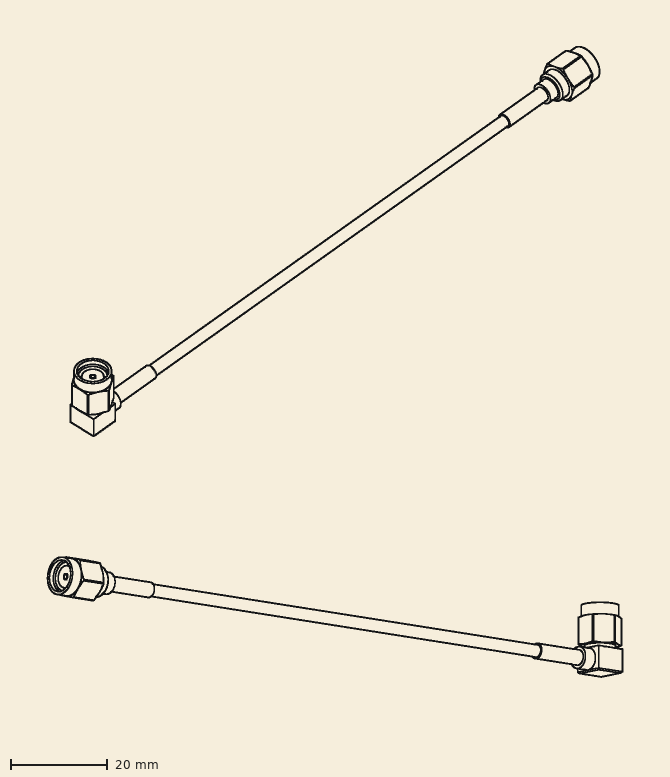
import cadquery as cq
import math

total_length = 153.1
cable_diameter = 2.6

sleeve_diameter = 3.2
sleeve_length = 11.5
collar_diameter = 4.6

nut_across_flats = 8.0
nut_corner_diameter = 9.0
hex_length = 6.0
hex_chamfer_angle = 20.0
rim_diameter = 7.8
rim_length = 2.5
nut_length = hex_length + rim_length

mouth_diameter = 6.6
mouth_depth = 1.0
thread_diameter = 6.0
thread_lead = (mouth_diameter - thread_diameter) / 2
socket_depth = 3.0
shell_diameter = 4.6
shell_recess = 1.5
contact_bore_diameter = 1.27
pin_diameter = 0.9

block_width = 6.6
block_bottom = -2.6
block_top = 2.5
block_chamfer = 0.3
neck_diameter = 6.5
elbow_top = 11.6
elbow_collar_length = 2.8

straight_nut_turn = -15.0
straight_collar_length = 2.3
flange_diameter = 6.5
flange_length = 2.5
flange_chamfer = 0.5

elbow_collar_end = block_width / 2 + elbow_collar_length
elbow_sleeve_end = elbow_collar_end + sleeve_length
straight_face = total_length - nut_across_flats / 2
flange_back = straight_face - nut_length - flange_length
straight_sleeve_end = flange_back - straight_collar_length
straight_sleeve_start = straight_sleeve_end - sleeve_length


def disc(diameter, start, end):
    """A round length along Z."""
    return cq.Workplane("XY", origin=(0, 0, start)).circle(diameter / 2).extrude(end - start)


def rod(diameter, start, end):
    """A round length along Y."""
    return cq.Workplane("XZ", origin=(0, start, 0)).circle(diameter / 2).extrude(start - end)


def hexagon(turn):
    """Hexagon of the nut, with its corners turned down and coned off at both ends."""
    chamfer_width = (nut_corner_diameter - nut_across_flats) / 2
    chamfer_height = chamfer_width * math.tan(math.radians(hex_chamfer_angle))
    turned = (
        disc(nut_corner_diameter, -nut_length, -rim_length)
        .faces("<Z or >Z")
        .chamfer(chamfer_height, chamfer_width)
    )
    prism = (
        cq.Workplane("XY", origin=(0, 0, -nut_length))
        .polygon(6, nut_across_flats / math.cos(math.pi / 6))
        .extrude(hex_length)
        .rotate((0, 0, 0), (0, 0, 1), turn)
    )
    return prism.intersect(turned)


def socket():
    """Space inside the open end of the nut: wide mouth, cone, then thread bore."""
    return (
        cq.Workplane("XZ")
        .polyline(
            [
                (0, 0),
                (mouth_diameter / 2, 0),
                (mouth_diameter / 2, -mouth_depth),
                (thread_diameter / 2, -mouth_depth - thread_lead),
                (thread_diameter / 2, -socket_depth),
                (0, -socket_depth),
            ]
        )
        .close()
        .revolve(360, (0, 0, 0), (0, 1, 0))
    )


def coupling(turn):
    """Nut and contacts about Z, with the open face at z = 0 and the nut below it."""
    shell = disc(shell_diameter, -socket_depth, -shell_recess)
    contact_bore = disc(contact_bore_diameter, -socket_depth, -shell_recess)
    pin = disc(pin_diameter, -socket_depth, -shell_recess)
    nut = hexagon(turn).union(disc(rim_diameter, -nut_length, 0)).cut(socket())
    return nut.union(shell).cut(contact_bore).union(pin)


def right_angle_connector():
    """Block at the origin, nut above it, and the crimp that the cable butts against."""
    block = (
        cq.Workplane("XY", origin=(0, 0, block_bottom))
        .rect(block_width, block_width)
        .extrude(block_top - block_bottom)
        .faces("<Z")
        .edges()
        .chamfer(block_chamfer)
    )
    neck = disc(neck_diameter, block_top, elbow_top - nut_length)
    nut = coupling(0).translate((0, 0, elbow_top))
    collar = rod(collar_diameter, 0, elbow_collar_end)
    sleeve = rod(sleeve_diameter, elbow_collar_end, elbow_sleeve_end)
    return block.union(neck).union(nut).union(collar).union(sleeve)


def straight_connector_with_cable():
    """Straight connector with its crimp and the fixed cable, one piece along Y."""
    nut = (
        coupling(straight_nut_turn)
        .rotate((0, 0, 0), (1, 0, 0), -90)
        .translate((0, straight_face, 0))
    )
    flange = (
        rod(flange_diameter, flange_back, flange_back + flange_length)
        .faces("<Y")
        .chamfer(flange_chamfer)
    )
    collar = rod(collar_diameter, straight_sleeve_end, flange_back)
    sleeve = rod(sleeve_diameter, straight_sleeve_start, straight_sleeve_end)
    cable = rod(cable_diameter, elbow_sleeve_end, straight_sleeve_start)
    return nut.union(flange).union(collar).union(sleeve).union(cable)


elbow = right_angle_connector()
straight = straight_connector_with_cable()
result = cq.Compound.makeCompound([elbow.solids().val(), straight.solids().val()])